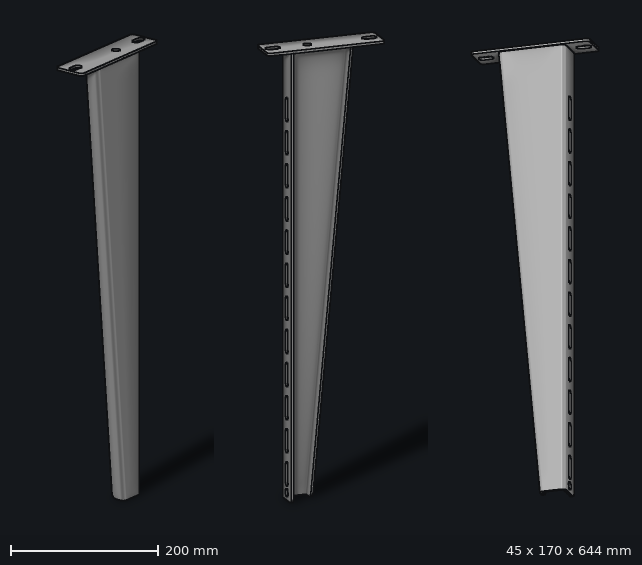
import cadquery as cq
import math

PLATE_WIDTH = 45.0
PLATE_LENGTH = 170.0
PLATE_THICKNESS = 4.0
PLATE_CORNER_RADIUS = 5.0
BOLT_DIAMETER = 11.0
BOLT_SLOT_LENGTH = 21.0
BOLT_SLOT_OFFSET = 70.0
CENTRE_HOLE_Y = 20.0

TOTAL_HEIGHT = 644.0
SHEET_THICKNESS = 3.5
BEND_RADIUS = 6.0
WEB_OUTER_X = 20.0
BACK_Y = 50.0
DEPTH_AT_PLATE = 97.0
DEPTH_AT_TIP = 38.0
BACK_FLANGE_WIDTH = 39.0
FRONT_FLANGE_WIDTH = 20.5
FLANGE_CORNER_RADIUS = 7.0

SLOT_COUNT = 12
SLOT_PITCH = 47.0
SLOT_LENGTH = 34.0
SLOT_WIDTH = 9.0
FIRST_SLOT_DEPTH = 89.5
TIP_HOLE_DEPTH = 633.0
TIP_HOLE_DIAMETER = 11.0
PERFORATION_X = -0.5

ARM_LENGTH = TOTAL_HEIGHT - PLATE_THICKNESS
TIP_Z = -TOTAL_HEIGHT
PLATE_BOTTOM_Z = -PLATE_THICKNESS
BACK_EDGE_X = WEB_OUTER_X - BACK_FLANGE_WIDTH
FRONT_EDGE_X = WEB_OUTER_X - FRONT_FLANGE_WIDTH
TIP_MIDDLE_Y = BACK_Y - DEPTH_AT_TIP / 2
FRONT_TOP_Y = BACK_Y - DEPTH_AT_PLATE
TAPER_ANGLE = math.atan2(DEPTH_AT_PLATE - DEPTH_AT_TIP, ARM_LENGTH)
FRONT_THICKNESS_Y = SHEET_THICKNESS / math.cos(TAPER_ANGLE)


def head_plate():
    """Flat plate with two bolt slots and one round hole."""
    base = cq.Workplane("XY", origin=(0, 0, PLATE_BOTTOM_Z))
    plate = base.rect(PLATE_WIDTH, PLATE_LENGTH).extrude(PLATE_THICKNESS)
    plate = plate.edges("|Z").fillet(PLATE_CORNER_RADIUS)
    slots = (
        base.pushPoints([(0, BOLT_SLOT_OFFSET), (0, -BOLT_SLOT_OFFSET)])
        .slot2D(BOLT_SLOT_LENGTH, BOLT_DIAMETER, 90)
        .extrude(PLATE_THICKNESS)
    )
    hole = (
        base.pushPoints([(0, CENTRE_HOLE_Y)])
        .circle(BOLT_DIAMETER / 2)
        .extrude(PLATE_THICKNESS)
    )
    return plate.cut(slots).cut(hole)


def tapered_block(back_inset, front_inset, x_min, x_max):
    """Trapezoidal block as long as the arm, inset in Y from its back and front faces."""
    back = BACK_Y - back_inset
    front_top = FRONT_TOP_Y + front_inset
    front_tip = BACK_Y - DEPTH_AT_TIP + front_inset
    outline = [
        (back, PLATE_BOTTOM_Z),
        (front_top, PLATE_BOTTOM_Z),
        (front_tip, TIP_Z),
        (back, TIP_Z),
    ]
    base = cq.Workplane("YZ", origin=(x_min, 0, 0))
    return base.polyline(outline).close().extrude(x_max - x_min)


def round_bends(block, radius):
    """Round the two long edges where the web face meets the flange faces."""
    return block.faces(">X").edges("not |Y").fillet(radius)


def channel():
    """Bent sheet channel whose front flange is narrower than the back one."""
    outer = tapered_block(0, 0, BACK_EDGE_X, WEB_OUTER_X)
    outer = round_bends(outer, BEND_RADIUS)
    inner = tapered_block(
        SHEET_THICKNESS, FRONT_THICKNESS_Y, BACK_EDGE_X, WEB_OUTER_X - SHEET_THICKNESS
    )
    inner = round_bends(inner, BEND_RADIUS - SHEET_THICKNESS)
    front_trim = tapered_block(SHEET_THICKNESS, 0, BACK_EDGE_X, FRONT_EDGE_X)
    return outer.cut(inner).cut(front_trim)


def flange_corner(edge_x, y_min, y_max):
    """Waste outside the rounded free corner of a flange at the tip."""
    radius = FLANGE_CORNER_RADIUS
    width = y_max - y_min
    base = cq.Workplane("XZ", origin=(edge_x, y_max, TIP_Z))
    square = base.rect(radius, radius, centered=False).extrude(width)
    disc = base.center(radius, radius).circle(radius).extrude(width)
    return square.cut(disc)


def perforation():
    """Row of upright slots with a round hole near the tip."""
    slot_centres = [
        (PERFORATION_X, -FIRST_SLOT_DEPTH - index * SLOT_PITCH) for index in range(SLOT_COUNT)
    ]
    base = cq.Workplane("XZ", origin=(0, BACK_Y, 0))
    slots = (
        base.pushPoints(slot_centres)
        .slot2D(SLOT_LENGTH, SLOT_WIDTH, 90)
        .extrude(SHEET_THICKNESS)
    )
    hole = (
        base.pushPoints([(PERFORATION_X, -TIP_HOLE_DEPTH)])
        .circle(TIP_HOLE_DIAMETER / 2)
        .extrude(SHEET_THICKNESS)
    )
    return slots.union(hole)


arm = channel().cut(perforation())
arm = arm.cut(flange_corner(BACK_EDGE_X, TIP_MIDDLE_Y, BACK_Y))
arm = arm.cut(flange_corner(FRONT_EDGE_X, FRONT_TOP_Y, TIP_MIDDLE_Y))
result = head_plate().union(arm)